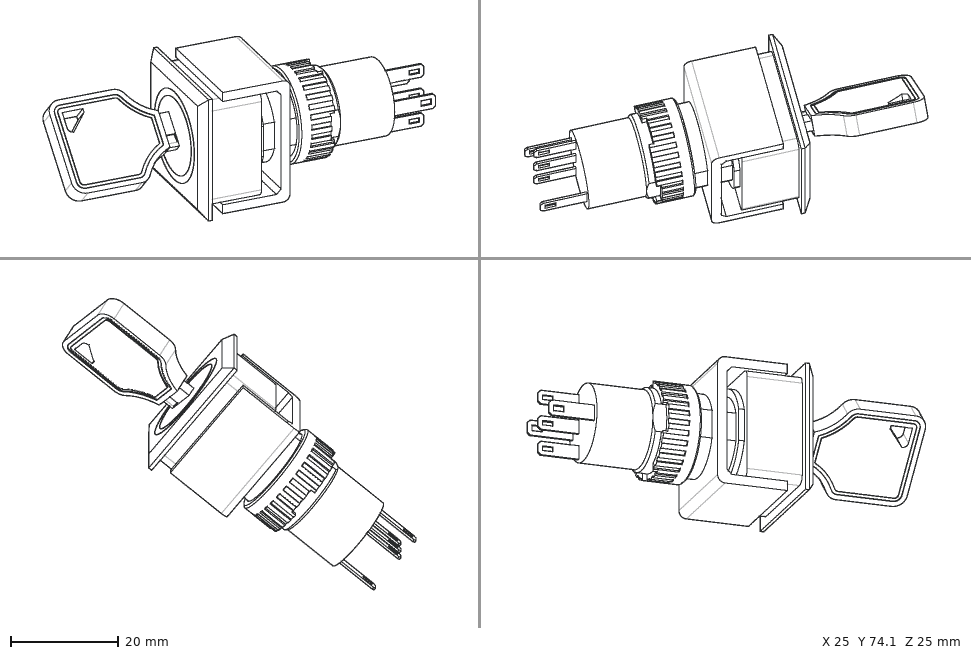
import cadquery as cq
import math


bezel_half = 25.0 / 2
housing_half = 21.3 / 2
bezel_rim_y = 1.4
bezel_back_y = 2.15
housing_back_y = 13.05
housing_corner_radius = 1.55
face_groove_outer_radius = 9.05
face_groove_inner_radius = 7.6
face_groove_depth = 0.1
flange_radius = 9.55
flange_flat_half = 9.05
flange_back_y = 14.15
barrel_radius = 8.0
block_radius = 15.05 / 2
barrel_flat_half = block_radius
barrel_back_y = 30.6
block_back_y = 41.65

nut_radius = 9.3
nut_front_y = 21.5
nut_back_y = 28.9
nut_chamfer = 0.4
nut_groove_count = 30
nut_groove_width = 1.0
nut_groove_depth = 0.4
nut_groove_front_y = 23.9
nut_slot_width = 5.55
nut_slot_depth = 0.9

bracket_front_y = 5.1
bracket_back_y = 18.9
bracket_half_height = bezel_half
bracket_leg = bracket_half_height - housing_half
bracket_outer_radius = 1.5
bracket_inner_chamfer = 1.0

terminal_thickness = 0.45
terminal_corner = 0.5
hole_length = 2.1
row_terminal_width = 2.7
row_terminal_x = 2.6
row_terminal_spacing = 5.05
row_terminal_tip_y = 49.7
row_hole_height = 0.9
outer_terminal_width = 3.0
outer_terminal_x = 5.9
outer_terminal_tip_y = 50.6
outer_hole_height = 1.1
hole_inset = 0.9

key_angle = 45
key_centre = -1.05
key_tip_y = -23.5
key_neck_y = -2.4
key_thickness = 4.1
bow_half = 9.5
bow_corner_radius = 2.5
shoulder_half = 8.2
shoulder_y = -7.8
neck_half = 3.7
neck_curve_half = 5.2
panel_groove_outer_inset = 1.05
panel_groove_inner_inset = 1.7
panel_groove_depth = 0.2
blade_half = 3.5
blade_thickness = 1.9
blade_groove_near = 1.0
blade_groove_far = 2.7
blade_groove_depth = 0.4
blade_groove_gap = 0.2
eyelet_outer = -7.9
eyelet_inner = -3.8
eyelet_top_width = 0.75
eyelet_top_y = -16.75
eyelet_bottom_y = -21.0
eyelet_corner_radius = 1.05


def disc(radius, front_y, back_y):
    """Cylinder on the switch axis between two Y positions."""
    return cq.Workplane("XZ", origin=(0, front_y, 0)).circle(radius).extrude(front_y - back_y)


def block(size_x, front_y, back_y, size_z):
    """Box centred on the switch axis between two Y positions."""
    middle_y = (front_y + back_y) / 2
    return cq.Workplane("XY").box(size_x, back_y - front_y, size_z).translate((0, middle_y, 0))


def flatted_disc(radius, flat_half, front_y, back_y):
    """Cylinder with two flats facing -X and +X."""
    return disc(radius, front_y, back_y).intersect(block(2 * flat_half, front_y, back_y, 2 * radius))


def make_bezel():
    """Square plate with a sloped border and a shallow ring groove in its front face."""
    rim = block(2 * bezel_half, bezel_rim_y, bezel_back_y, 2 * bezel_half)
    border = (
        cq.Workplane("XZ")
        .rect(2 * housing_half, 2 * housing_half)
        .workplane(offset=-bezel_rim_y)
        .rect(2 * bezel_half, 2 * bezel_half)
        .loft(ruled=True)
    )
    groove = disc(face_groove_outer_radius, 0, face_groove_depth)
    groove = groove.cut(disc(face_groove_inner_radius, 0, face_groove_depth))
    return border.union(rim).cut(groove)


def make_barrel():
    """Round barrel with side flats and a chamfered back edge."""
    barrel = disc(barrel_radius, flange_back_y, barrel_back_y)
    barrel = barrel.faces(">Y").chamfer(barrel_radius - block_radius)
    return barrel.intersect(block(2 * barrel_flat_half, flange_back_y, barrel_back_y, 2 * barrel_radius))


def make_switch_body():
    """Bezel, box, flange, barrel and contact block in one piece along the axis."""
    box = block(2 * housing_half, bezel_back_y, housing_back_y, 2 * housing_half)
    box = box.edges("|Y").fillet(housing_corner_radius)
    flange = flatted_disc(flange_radius, flange_flat_half, housing_back_y, flange_back_y)
    contact_block = disc(block_radius, barrel_back_y, block_back_y)
    return make_bezel().union(box).union(flange).union(make_barrel()).union(contact_block)


def make_nut():
    """Ring nut with axial grip grooves and two crossed slots in its back end."""
    nut = disc(nut_radius, nut_front_y, nut_back_y).faces("<Y").chamfer(nut_chamfer)
    nut = nut.cut(disc(barrel_radius, nut_front_y, nut_back_y))
    groove = block(nut_groove_width, nut_groove_front_y, nut_back_y, 2 * nut_groove_depth)
    groove = groove.translate((0, 0, nut_radius))
    for index in range(nut_groove_count):
        nut = nut.cut(groove.rotate((0, 0, 0), (0, 1, 0), index * 360 / nut_groove_count))
    slot_front_y = nut_back_y - nut_slot_depth
    nut = nut.cut(block(2 * nut_radius, slot_front_y, nut_back_y, nut_slot_width))
    return nut.cut(block(nut_slot_width, slot_front_y, nut_back_y, 2 * nut_radius))


def make_bracket():
    """U-shaped bracket that fits over the barrel and grips the box above and below."""
    web_front_y = bracket_back_y - bracket_leg
    outer = block(2 * housing_half, bracket_front_y, bracket_back_y, 2 * bracket_half_height)
    outer = outer.edges("|X and >Y").fillet(bracket_outer_radius)
    inner = block(2 * housing_half, bracket_front_y, web_front_y, 2 * housing_half)
    inner = inner.edges("|X and >Y").chamfer(bracket_inner_chamfer)
    opening = flatted_disc(barrel_radius, barrel_flat_half, bracket_front_y, bracket_back_y)
    return outer.cut(inner).cut(opening)


def make_terminal(x, z, width, tip_y, hole_height):
    """Flat solder terminal with clipped corners and a rectangular hole near its tip."""
    blade = block(terminal_thickness, block_back_y, tip_y, width)
    blade = blade.edges("|X and >Y").chamfer(terminal_corner)
    hole_back_y = tip_y - hole_inset
    hole = block(terminal_thickness, hole_back_y - hole_length, hole_back_y, hole_height)
    return blade.cut(hole).translate((x, 0, z))


def key_outline():
    """Closed outline of the key bow, symmetric about the line X = key_centre."""
    curve_y = (key_neck_y + shoulder_y) / 2
    corner_y = key_tip_y + bow_corner_radius
    corner_half = bow_half - bow_corner_radius
    shoulder_turn = math.acos((shoulder_half - corner_half) / bow_corner_radius)
    side_end_y = shoulder_y - bow_corner_radius * math.sin(shoulder_turn)
    right = key_centre + bow_half
    left = key_centre - bow_half
    return (
        cq.Workplane("XY")
        .moveTo(key_centre - neck_half, key_neck_y)
        .lineTo(key_centre + neck_half, key_neck_y)
        .threePointArc((key_centre + neck_curve_half, curve_y), (key_centre + shoulder_half, shoulder_y))
        .radiusArc((right, side_end_y), bow_corner_radius)
        .lineTo(right, corner_y)
        .radiusArc((key_centre + corner_half, key_tip_y), bow_corner_radius)
        .lineTo(key_centre - corner_half, key_tip_y)
        .radiusArc((left, corner_y), bow_corner_radius)
        .lineTo(left, side_end_y)
        .radiusArc((key_centre - shoulder_half, shoulder_y), bow_corner_radius)
        .threePointArc((key_centre - neck_curve_half, curve_y), (key_centre - neck_half, key_neck_y))
        .close()
    )


def make_panel_groove():
    """Shallow groove that follows the bow outline on its upper face."""
    outer = key_outline().offset2D(-panel_groove_outer_inset).extrude(panel_groove_depth)
    inner = key_outline().offset2D(-panel_groove_inner_inset).extrude(panel_groove_depth)
    return outer.cut(inner).translate((0, 0, key_thickness / 2 - panel_groove_depth))


def make_eyelet():
    """Triangular hole through the bow."""
    return (
        cq.Workplane("XY", origin=(0, 0, -key_thickness / 2))
        .moveTo(eyelet_outer, eyelet_bottom_y)
        .lineTo(eyelet_inner - eyelet_corner_radius, eyelet_bottom_y)
        .radiusArc((eyelet_inner, eyelet_bottom_y + eyelet_corner_radius), -eyelet_corner_radius)
        .lineTo(eyelet_outer + eyelet_top_width, eyelet_top_y)
        .lineTo(eyelet_outer, eyelet_top_y)
        .close()
        .extrude(key_thickness)
    )


def make_blade():
    """Key shank with one slanted groove on each face."""
    length = -key_neck_y
    blade = cq.Workplane("XY").box(2 * blade_half, length, blade_thickness)
    face_z = blade_thickness / 2
    groove = (
        cq.Workplane("XZ", origin=(0, length / 2 - blade_groove_gap, 0))
        .moveTo(blade_groove_near, face_z)
        .lineTo(blade_groove_near, face_z - blade_groove_depth)
        .lineTo(blade_groove_far, face_z)
        .close()
        .extrude(length - blade_groove_gap)
    )
    for turn in (0, 180):
        blade = blade.cut(groove.rotate((0, 0, 0), (0, 1, 0), turn))
    return blade.translate((key_centre, key_neck_y + length / 2, 0))


def make_key():
    """Bow and shank in one piece, turned about the switch axis."""
    bow = key_outline().extrude(key_thickness / 2, both=True)
    groove = make_panel_groove()
    bow = bow.cut(groove).cut(groove.mirror("XY")).cut(make_eyelet())
    return bow.union(make_blade()).rotate((0, 0, 0), (0, 1, 0), key_angle)


switch_body = make_switch_body()
nut = make_nut()
bracket = make_bracket()
key = make_key()

terminals = []
for z in (-row_terminal_spacing, 0, row_terminal_spacing):
    terminals.append(make_terminal(row_terminal_x, z, row_terminal_width, row_terminal_tip_y, row_hole_height))
for x in (-outer_terminal_x, outer_terminal_x):
    terminals.append(make_terminal(x, 0, outer_terminal_width, outer_terminal_tip_y, outer_hole_height))

bodies = [switch_body, nut, bracket, key, *terminals]
result = cq.Compound.makeCompound([body.solids().val() for body in bodies])